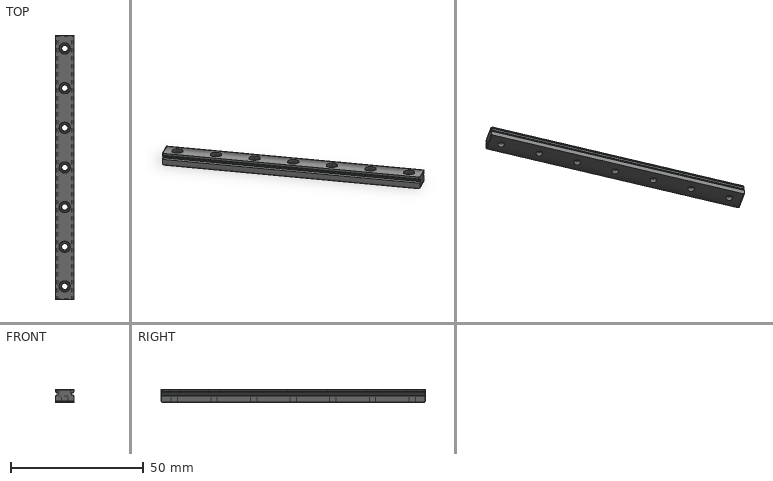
import cadquery as cq

length = 100.0
width = 7.0
height = 4.8

flank_depth = 0.4
groove_depth = 0.9
groove_mouth_bottom = 2.3
groove_mouth_top = 4.0
slot_bottom = 2.8
slot_top = 3.5

hole_count = 7
hole_pitch = 15.0
hole_diameter = 2.4
counterbore_diameter = 4.2
counterbore_depth = 2.4

bottom_chamfer = 0.4
lip_chamfer = 0.5


def make_rail():
    """Extrude the grooved cross-section along Y."""
    side = width / 2
    slot_mouth = side - flank_depth
    floor = side - groove_depth
    right_side = [
        (side, 0),
        (side, groove_mouth_bottom),
        (slot_mouth, slot_bottom),
        (floor, slot_bottom),
        (floor, slot_top),
        (slot_mouth, slot_top),
        (side, groove_mouth_top),
        (side, height),
    ]
    left_side = [(-x, z) for x, z in reversed(right_side)]
    profile = cq.Workplane("XZ").polyline(right_side + left_side).close()
    return profile.extrude(length / 2, both=True)


def chamfer_ends(rail):
    """Bevel the lower end edges, and the upper lip's corners on the -X side."""
    rail = rail.faces("<Z").edges("<Y or >Y").chamfer(bottom_chamfer)
    for end in (-1, 1):
        corner = (-width / 2, end * length / 2)
        corner_cut = (
            cq.Workplane("XY")
            .workplane(offset=slot_top)
            .polyline([
                corner,
                (corner[0] + lip_chamfer, corner[1]),
                (corner[0], corner[1] - end * lip_chamfer),
            ])
            .close()
            .extrude(height - slot_top)
        )
        rail = rail.cut(corner_cut)
    return rail


def drill_holes(rail):
    """Drill one row of counterbored holes along the centreline."""
    return (
        rail.faces(">Z")
        .workplane(origin=(0, 0, height))
        .rarray(1, hole_pitch, 1, hole_count)
        .cboreHole(hole_diameter, counterbore_diameter, counterbore_depth)
    )


result = drill_holes(chamfer_ends(make_rail()))